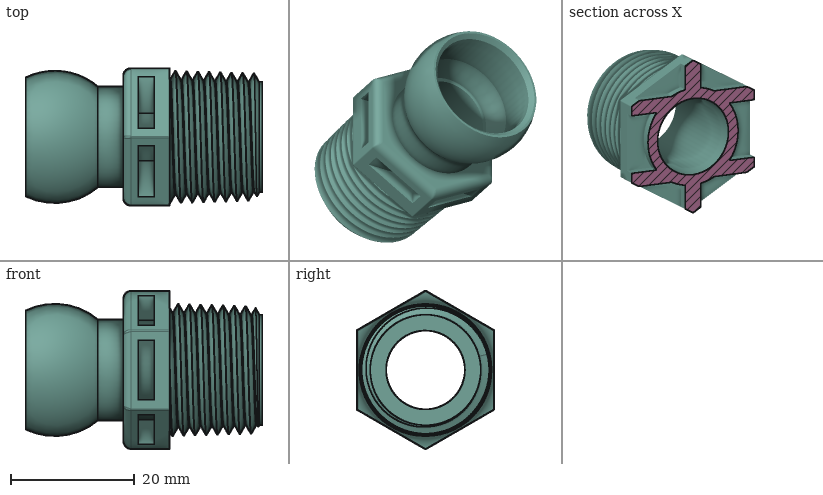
import cadquery as cq
import math

TOTAL_LENGTH = 38.28
BALL_CENTER_X = 4.73
HEX_START_X = 15.76
HEX_LENGTH = 7.54
HEX_END_X = HEX_START_X + HEX_LENGTH

BALL_RADIUS = 10.72
NECK_RADIUS = 8.18

RIM_INNER_RADIUS = 9.25
MOUTH_RADIUS = 8.54
RIM_CHAMFER_LENGTH = RIM_INNER_RADIUS - MOUTH_RADIUS
FUNNEL_START_X = 7.87
FUNNEL_END_X = 11.50
FUNNEL_END_RADIUS = 6.96
BORE_RADIUS = 6.35

HEX_ACROSS_FLATS = 22.23
HEX_APOTHEM = HEX_ACROSS_FLATS / 2
HEX_SIDES = 6
HALF_HEX_ANGLE = math.pi / HEX_SIDES
HEX_FRONT_FILLET = 1.27
HEX_REAR_FILLET = 0.127
HEX_CORNER_FILLET = 0.25
SLOT_WIDTH = 2.54
SLOT_CENTER_X = 19.50
SLOT_HALF_SPAN = 4.78

INCH = 25.4
THREADS_PER_INCH = 14
PITCH = INCH / THREADS_PER_INCH
TAPER = 1 / 32
FLANK_ANGLE = 60
FLANK_SLOPE = math.tan(math.radians(FLANK_ANGLE))
CREST_FLAT = 0.07
THREAD_DEPTH = 1.34
ROOT_EMBED = 0.05
THREAD_START_X = 21.95
THREAD_TURNS = 9.25
THREAD_END_X = 37.80
TIP_RADIUS = 8.94
CREST_RADIUS_AT_HEX = 10.72


def crest_radius(x):
    """Crest radius of the tapered thread at station x."""
    return CREST_RADIUS_AT_HEX - TAPER * (x - HEX_END_X)


def root_radius(x):
    """Radius of the tapered core between the thread crests at station x."""
    return crest_radius(x) - THREAD_DEPTH


def sphere_offset(sphere_radius, section_radius):
    """Axial distance from a sphere's center to its section of the given radius."""
    return math.sqrt(sphere_radius**2 - section_radius**2)


def revolve_about_x(profile):
    """Turn a closed half profile drawn in XY about the X axis."""
    return profile.revolve(360, (0, 0, 0), (1, 0, 0))


def ball_and_neck():
    """Truncated ball on a cylindrical neck that runs through the collar."""
    rim_radius = sphere_offset(BALL_RADIUS, BALL_CENTER_X)
    neck_x = BALL_CENTER_X + sphere_offset(BALL_RADIUS, NECK_RADIUS)
    profile = (
        cq.Workplane("XY")
        .lineTo(0, rim_radius)
        .threePointArc((BALL_CENTER_X, BALL_RADIUS), (neck_x, NECK_RADIUS))
        .lineTo(HEX_END_X, NECK_RADIUS)
        .lineTo(HEX_END_X, 0)
        .close()
    )
    return revolve_about_x(profile)


def hex_collar():
    """Hexagonal prism with flats facing +Y and -Y and rounded edges."""
    corner_diameter = HEX_ACROSS_FLATS / math.cos(HALF_HEX_ANGLE)
    collar = (
        cq.Workplane("YZ", origin=(HEX_START_X, 0, 0))
        .transformed(rotate=(0, 0, 90))
        .polygon(HEX_SIDES, corner_diameter)
        .extrude(HEX_LENGTH)
    )
    collar = collar.edges("|X").fillet(HEX_CORNER_FILLET)
    collar = collar.faces(">X").edges().fillet(HEX_REAR_FILLET)
    return collar.faces("<X").edges().fillet(HEX_FRONT_FILLET)


def slot_box(y_range, z_range):
    """Box of slot width spanning the given Y and Z ranges."""
    y_size = y_range[1] - y_range[0]
    z_size = z_range[1] - z_range[0]
    return (
        cq.Workplane("XY", origin=(SLOT_CENTER_X, y_range[0], z_range[0]))
        .box(SLOT_WIDTH, y_size, z_size, centered=(True, False, False))
    )


def hex_slots():
    """Six slots with walls parallel to Y and Z and floors on the neck cylinder."""
    outside = HEX_ACROSS_FLATS
    inner_y = HEX_APOTHEM * math.sin(HALF_HEX_ANGLE) - SLOT_HALF_SPAN * math.cos(HALF_HEX_ANGLE)
    inner_z = HEX_APOTHEM * math.cos(HALF_HEX_ANGLE) - SLOT_HALF_SPAN * math.sin(HALF_HEX_ANGLE)
    slots = slot_box((-outside, outside), (-SLOT_HALF_SPAN, SLOT_HALF_SPAN))
    corner_slot = slot_box((inner_y, outside), (inner_z, outside))
    for half in (corner_slot, corner_slot.mirror("XZ")):
        slots = slots.union(half).union(half.mirror("XY"))
    floor = cq.Workplane("YZ").circle(NECK_RADIUS).extrude(TOTAL_LENGTH)
    return slots.cut(floor)


def thread_core():
    """Solid of revolution under the thread, starting inside the collar."""
    core_start_x = HEX_START_X + HEX_LENGTH / 2
    profile = (
        cq.Workplane("XY")
        .moveTo(core_start_x, 0)
        .lineTo(core_start_x, NECK_RADIUS)
        .lineTo(HEX_END_X - HEX_REAR_FILLET, root_radius(HEX_END_X))
        .lineTo(THREAD_END_X, TIP_RADIUS)
        .lineTo(TOTAL_LENGTH, TIP_RADIUS)
        .lineTo(TOTAL_LENGTH, 0)
        .close()
    )
    return revolve_about_x(profile)


def thread_ridge():
    """Tapered helical ridge, cut off at the tip by a cone that matches the flanks."""
    base_radius = root_radius(THREAD_START_X) - ROOT_EMBED
    height = THREAD_DEPTH + ROOT_EMBED
    half_crest = CREST_FLAT / 2
    half_base = half_crest + height / FLANK_SLOPE
    taper_angle = -math.degrees(math.atan(TAPER))
    helix = cq.Wire.makeHelix(PITCH, PITCH * THREAD_TURNS, base_radius, angle=taper_angle)
    ridge = (
        cq.Workplane("XZ")
        .polyline(
            [
                (base_radius, -half_base),
                (base_radius + height, -half_crest),
                (base_radius + height, half_crest),
                (base_radius, half_base),
            ]
        )
        .close()
        .sweep(cq.Workplane(obj=helix), isFrenet=True)
        .rotate((0, 0, 0), (0, 1, 0), 90)
        .translate((THREAD_START_X, 0, 0))
    )
    cone_rise = HEX_APOTHEM - TIP_RADIUS
    envelope_profile = (
        cq.Workplane("XY")
        .moveTo(HEX_START_X, 0)
        .lineTo(HEX_START_X, HEX_APOTHEM)
        .lineTo(THREAD_END_X - cone_rise / FLANK_SLOPE, HEX_APOTHEM)
        .lineTo(THREAD_END_X, TIP_RADIUS)
        .lineTo(THREAD_END_X, 0)
        .close()
    )
    return ridge.intersect(revolve_about_x(envelope_profile))


def interior():
    """Hollow of the part, from the chamfered ball mouth to the threaded tip."""
    profile = (
        cq.Workplane("XY")
        .lineTo(0, RIM_INNER_RADIUS)
        .lineTo(RIM_CHAMFER_LENGTH, MOUTH_RADIUS)
        .lineTo(FUNNEL_START_X, MOUTH_RADIUS)
        .lineTo(FUNNEL_END_X, FUNNEL_END_RADIUS)
        .lineTo(FUNNEL_END_X, BORE_RADIUS)
        .lineTo(TOTAL_LENGTH, BORE_RADIUS)
        .lineTo(TOTAL_LENGTH, 0)
        .close()
    )
    return revolve_about_x(profile)


body = ball_and_neck().union(hex_collar()).union(thread_core())
body = body.union(thread_ridge())
result = body.cut(interior()).cut(hex_slots())